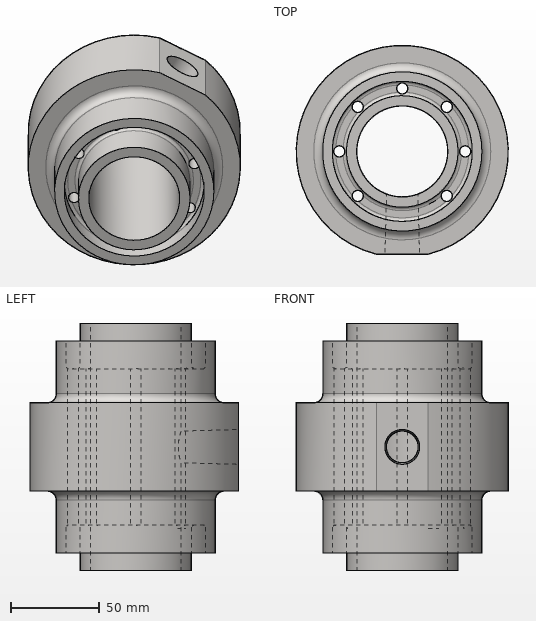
import cadquery as cq

LENGTH = 139.8
HALF_LENGTH = LENGTH / 2

BODY_DIAMETER = 120.0
SHOULDER_DIAMETER = 90.0
GROOVE_OUTER_DIAMETER = 79.1
TUBE_DIAMETER = 63.0
BORE_DIAMETER = 51.3

BODY_HEIGHT = 50.0
TUBE_PROJECTION = 9.9
SHOULDER_TOP = HALF_LENGTH - TUBE_PROJECTION
GROOVE_DEPTH = 16.0

SHOULDER_FILLET = 5.0
GROOVE_FILLET = 2.0

FLAT_DISTANCE = 58.2
PORT_MOUTH_DIAMETER = 19.7
PORT_INNER_DIAMETER = 17.9

HOLE_DIAMETER = 6.2
HOLE_CIRCLE_DIAMETER = 71.2
HOLE_PLACES = 8
PORT_ANGLE = 270.0


def cylinder(diameter, height):
    """Cylinder about Z, centred on the origin."""
    return cq.Workplane("XY").cylinder(height, diameter / 2)


def outer_body():
    """Wide body with a filleted shoulder at each end."""
    body = cylinder(BODY_DIAMETER, BODY_HEIGHT)
    body = body.union(cylinder(SHOULDER_DIAMETER, 2 * SHOULDER_TOP))
    for side in (-1, 1):
        end_centre = (0, 0, side * BODY_HEIGHT / 2)
        body_end = body.faces(cq.selectors.NearestToPointSelector(end_centre))
        body = body_end.edges(cq.selectors.RadiusNthSelector(0)).fillet(SHOULDER_FILLET)
    return body


def end_groove():
    """Ring-shaped cutter for the upper end, rounded at its floor."""
    ring = (
        cq.Workplane("XY")
        .workplane(offset=SHOULDER_TOP - GROOVE_DEPTH)
        .circle(GROOVE_OUTER_DIAMETER / 2)
        .circle(TUBE_DIAMETER / 2)
        .extrude(GROOVE_DEPTH)
    )
    return ring.faces("<Z").edges().fillet(GROOVE_FILLET)


def axial_holes():
    """Through holes on a circle, skipping the place taken by the port."""
    step = 360.0 / HOLE_PLACES
    return (
        cq.Workplane("XY")
        .workplane(offset=-HALF_LENGTH)
        .polarArray(HOLE_CIRCLE_DIAMETER / 2, PORT_ANGLE + step, 360.0 - 2 * step, HOLE_PLACES - 1)
        .circle(HOLE_DIAMETER / 2)
        .extrude(LENGTH)
    )


def side_port():
    """Tapered hole from the flat on the -Y side into the bore."""
    bore_radius = BORE_DIAMETER / 2
    depth = FLAT_DISTANCE - bore_radius
    taper = cq.Solid.makeCone(
        PORT_MOUTH_DIAMETER / 2,
        PORT_INNER_DIAMETER / 2,
        depth,
        cq.Vector(0, -FLAT_DISTANCE, 0),
        cq.Vector(0, 1, 0),
    )
    straight = cq.Solid.makeCylinder(
        PORT_INNER_DIAMETER / 2,
        bore_radius,
        cq.Vector(0, -bore_radius, 0),
        cq.Vector(0, 1, 0),
    )
    return cq.Workplane(obj=taper).union(cq.Workplane(obj=straight))


def flat_cutter():
    """Block that trims the body to the flat on the -Y side."""
    return (
        cq.Workplane("XY")
        .box(BODY_DIAMETER, BODY_DIAMETER, LENGTH)
        .translate((0, -FLAT_DISTANCE - BODY_DIAMETER / 2, 0))
    )


upper_groove = end_groove()
lower_groove = upper_groove.mirror("XY")
tube_end = (
    cq.Workplane("XY")
    .workplane(offset=SHOULDER_TOP)
    .circle(TUBE_DIAMETER / 2)
    .extrude(TUBE_PROJECTION)
)

result = (
    outer_body()
    .cut(flat_cutter())
    .cut(upper_groove)
    .cut(lower_groove)
    .union(tube_end)
    .union(tube_end.mirror("XY"))
    .cut(axial_holes())
    .cut(cylinder(BORE_DIAMETER, LENGTH))
    .cut(side_port())
)